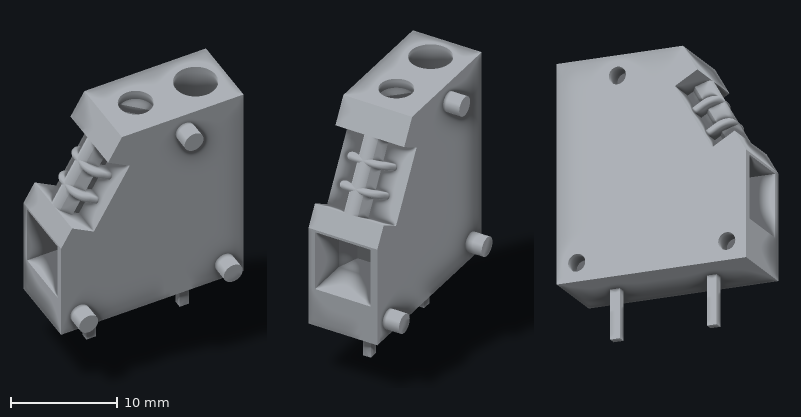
import cadquery as cq
import math


WIDTH = 7.5
DEPTH = 19.5
HEIGHT = 22.0
MID_X = WIDTH / 2
SLOPE_ANGLE = 30.0
SLOPE_SETBACK = 6.5
SLOPE_DROP = SLOPE_SETBACK / math.tan(math.radians(SLOPE_ANGLE))

PEG_DIAMETER = 2.02
PEG_LENGTH = 1.78
SOCKET_DIAMETER = 1.75
SOCKET_DEPTH = 2.0
LOW_PEG_HEIGHT = 1.9
TOP_PEG_HEIGHT = 19.98
FRONT_PEG_Y = 2.0
REAR_PEG_Y = 17.45
TOP_PEG_Y = 13.25
PEG_PLACES = [
    (FRONT_PEG_Y, LOW_PEG_HEIGHT),
    (REAR_PEG_Y, LOW_PEG_HEIGHT),
    (TOP_PEG_Y, TOP_PEG_HEIGHT),
]

STRAIGHT_DEPTH = 4.4
TAPER_DEPTH = 1.0
ENTRY_WIDTH = 6.05
ENTRY_HEIGHT = 6.37
ENTRY_END_WIDTH = 3.13
ENTRY_END_HEIGHT = 4.54
ENTRY_MID_Z = 7.3
TEST_HOLE_DIAMETER = 4.27
TEST_HOLE_END_DIAMETER = 2.65
TEST_HOLE_Y = 16.4

SCREW_DIAMETER = 3.4
SCREW_LENGTH = 2.0
SCREW_RECESS = 1.0
SCREW_Y = 10.0
SLOT_WIDTH = 0.9
SLOT_DEPTH = 1.0
SLOT_ANGLE = 45.0

NOTCH_START = 2.97
NOTCH_LENGTH = 7.67
NOTCH_DEPTH = 2.67
RAIL_NECK_HALF = 0.75
RAIL_NECK_HEIGHT = 0.68
RAIL_HALF = 1.3
RAIL_WIDEST_HEIGHT = 1.13
RAIL_NOSE_HEIGHT = 2.32
RIB_HALF_WIDTH = 2.32
RIB_THICKNESS = 0.7
RIB_ROUNDING = 0.32
RIB_SPACING = 2.8

PIN_X = 0.85
PIN_Y = 1.0
PIN_LENGTH = 5.0
PIN_PLACES = [5.0, 14.95]


def slope_plane(along, lift):
    """Plane across the slope, a distance along it from its top edge and lifted out of it.

    Local X is X, local Y points out of the slope, the normal runs down the slope.
    """
    sine = math.sin(math.radians(SLOPE_ANGLE))
    cosine = math.cos(math.radians(SLOPE_ANGLE))
    y = SLOPE_SETBACK - along * sine - lift * cosine
    z = HEIGHT - along * cosine + lift * sine
    return cq.Plane(origin=(MID_X, y, z), xDir=(1, 0, 0), normal=(0, -sine, -cosine))


def make_block():
    outline = [
        (0, 0),
        (DEPTH, 0),
        (DEPTH, HEIGHT),
        (SLOPE_SETBACK, HEIGHT),
        (0, HEIGHT - SLOPE_DROP),
    ]
    return cq.Workplane("YZ").polyline(outline).close().extrude(WIDTH)


def make_wire_entry():
    straight = (
        cq.Workplane("XZ").center(MID_X, ENTRY_MID_Z)
        .rect(ENTRY_WIDTH, ENTRY_HEIGHT).extrude(-STRAIGHT_DEPTH)
    )
    taper = (
        cq.Workplane("XZ", origin=(MID_X, STRAIGHT_DEPTH, ENTRY_MID_Z))
        .rect(ENTRY_WIDTH, ENTRY_HEIGHT)
        .workplane(offset=-TAPER_DEPTH)
        .rect(ENTRY_END_WIDTH, ENTRY_END_HEIGHT)
        .loft(ruled=True)
    )
    return straight.union(taper)


def make_test_hole():
    radius = TEST_HOLE_DIAMETER / 2
    end_radius = TEST_HOLE_END_DIAMETER / 2
    half_section = [
        (0, 0),
        (radius, 0),
        (radius, -STRAIGHT_DEPTH),
        (end_radius, -STRAIGHT_DEPTH - TAPER_DEPTH),
        (0, -STRAIGHT_DEPTH - TAPER_DEPTH),
    ]
    return (
        cq.Workplane("XZ", origin=(MID_X, TEST_HOLE_Y, HEIGHT))
        .polyline(half_section).close().revolve(360, (0, 0), (0, 1))
    )


def make_screw_hole():
    return (
        cq.Workplane("XY", origin=(MID_X, SCREW_Y, HEIGHT))
        .circle(SCREW_DIAMETER / 2).extrude(-SCREW_RECESS - SCREW_LENGTH)
    )


def make_sockets():
    return cq.Workplane("YZ").pushPoints(PEG_PLACES).circle(SOCKET_DIAMETER / 2).extrude(SOCKET_DEPTH)


def make_pegs():
    return (
        cq.Workplane("YZ", origin=(WIDTH, 0, 0))
        .pushPoints(PEG_PLACES).circle(PEG_DIAMETER / 2).extrude(PEG_LENGTH)
    )


def make_notch():
    return (
        cq.Workplane(slope_plane(NOTCH_START, 0))
        .rect(WIDTH, 2 * NOTCH_DEPTH).extrude(NOTCH_LENGTH)
    )


def make_rail():
    return (
        cq.Workplane(slope_plane(NOTCH_START, -NOTCH_DEPTH))
        .moveTo(-RAIL_NECK_HALF, 0)
        .lineTo(-RAIL_NECK_HALF, RAIL_NECK_HEIGHT)
        .lineTo(-RAIL_HALF, RAIL_WIDEST_HEIGHT)
        .lineTo(-RAIL_NECK_HALF, RAIL_NOSE_HEIGHT)
        .threePointArc((0, NOTCH_DEPTH), (RAIL_NECK_HALF, RAIL_NOSE_HEIGHT))
        .lineTo(RAIL_HALF, RAIL_WIDEST_HEIGHT)
        .lineTo(RAIL_NECK_HALF, RAIL_NECK_HEIGHT)
        .lineTo(RAIL_NECK_HALF, 0)
        .close().extrude(NOTCH_LENGTH)
    )


def make_rib(along):
    """Plate standing on the notch floor, as high as the rail, with round corners and a rounded rim."""
    corner_radius = RIB_HALF_WIDTH - RAIL_NECK_HALF
    rib = (
        cq.Workplane("XY")
        .center(0, NOTCH_DEPTH / 2)
        .box(2 * RIB_HALF_WIDTH, NOTCH_DEPTH, RIB_THICKNESS)
        .edges("|Z and >Y").fillet(corner_radius)
    )
    rounded = rib.faces("|Z").edges("not <Y").fillet(RIB_ROUNDING)
    return cq.Workplane(rounded.val().moved(slope_plane(along, -NOTCH_DEPTH).location))


def make_housing():
    housing = (
        make_block()
        .cut(make_wire_entry())
        .cut(make_test_hole())
        .cut(make_screw_hole())
        .cut(make_sockets())
        .cut(make_notch())
        .union(make_pegs())
        .union(make_rail())
    )
    notch_middle = NOTCH_START + NOTCH_LENGTH / 2
    for side in (-1, 1):
        housing = housing.union(make_rib(notch_middle + side * RIB_SPACING / 2))
    return housing


def make_screw():
    slot = (
        cq.Workplane("XY").rect(2 * SCREW_DIAMETER, SLOT_WIDTH).extrude(-SLOT_DEPTH)
        .rotate((0, 0, 0), (0, 0, 1), SLOT_ANGLE)
    )
    body = cq.Workplane("XY").circle(SCREW_DIAMETER / 2).extrude(-SCREW_LENGTH)
    return body.cut(slot).translate((MID_X, SCREW_Y, HEIGHT - SCREW_RECESS))


def make_pin(y):
    return cq.Workplane("XY", origin=(MID_X, y, 0)).rect(PIN_X, PIN_Y).extrude(-PIN_LENGTH)


housing = make_housing()
screw = make_screw()
pins = [make_pin(y) for y in PIN_PLACES]

result = cq.Compound.makeCompound([housing.val(), screw.val(), *[pin.val() for pin in pins]])